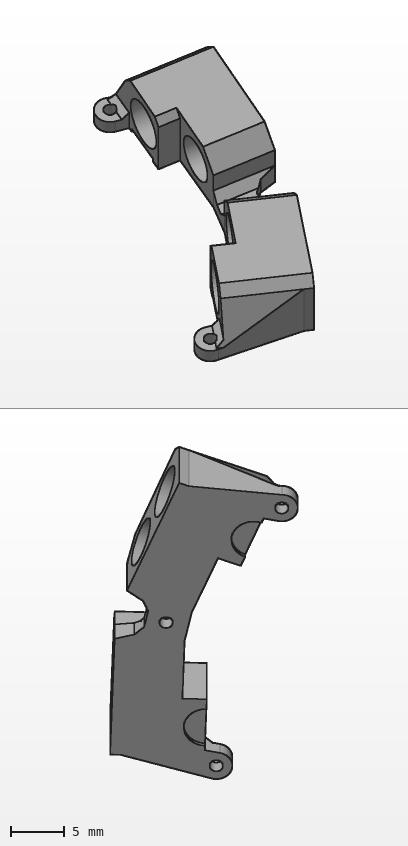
import cadquery as cq
import math

TOTAL_LENGTH = 32.5
SWING = 10.0
PIVOT_X = 1.62

BLOCK_LENGTH = 13.0
BLOCK_DEPTH = 6.5
STEP_U = 6.5
STEP_DEPTH = 2.27
HEIGHT = 7.0
INNER_TOP_Z = 6.55
INNER_BEVEL = 2.0
OUTER_BEVEL = 1.0
STEP_BEVEL_WIDTH = 0.7
STEP_BEVEL_HEIGHT = 0.78

FLANK_WIDTH = 2.18
FLANK_REAR_GAP = 0.97

BORE_FLOOR = 0.97
SMALL_BORE_D = 4.65
SMALL_BORE_U = 3.48
LARGE_BORE_D = 5.0
LARGE_BORE_U = 9.42

RECESS_D = 4.1
RECESS_U = 9.65
RECESS_HEIGHT = 0.4

PLATE = 1.5
HOLE_D = 1.25
LUG_R = 1.5
LUG_X = TOTAL_LENGTH / 2 - LUG_R
LUG_Y = -5.75
LUG_OVERLAP = 2.27
RAMP = 0.7
WEB_HOLE_Y = 2.1
WEB_REAR_Y = 4.0
WEB_REAR_HALF = 0.88
WEB_BEND = (1.92, 4.7)
GUSSET_WIDTH = 1.05
GUSSET_HEIGHT = 0.88

outer_shoulder_z = HEIGHT - OUTER_BEVEL
top_outer_u = BLOCK_LENGTH - OUTER_BEVEL
top_slope = (HEIGHT - INNER_TOP_Z) / (top_outer_u - INNER_BEVEL)
flank_u = BLOCK_LENGTH + FLANK_WIDTH


def to_global(u, v):
    """Plan position of a local block point on the right-hand side."""
    angle = math.radians(SWING)
    x = PIVOT_X + u * math.cos(angle) + v * math.sin(angle)
    y = v * math.cos(angle) - u * math.sin(angle)
    return x, y


def place(solid):
    """Move a solid from local block coordinates to the right-hand side."""
    return solid.rotate((0, 0, 0), (0, 0, 1), -SWING).translate((PIVOT_X, 0, 0))


def along_v(points, v_start, v_end):
    """Extrude a closed u-z profile from v_start rearward to v_end."""
    plane = cq.Workplane("XZ", origin=(0, v_start, 0))
    return plane.polyline(points).close().extrude(v_start - v_end)


def vertical_cylinder(x, y, diameter, height):
    return cq.Workplane("XY").center(x, y).circle(diameter / 2).extrude(height)


def bore(u, diameter):
    start = cq.Workplane("XZ", origin=(u, -STEP_DEPTH, BORE_FLOOR + diameter / 2))
    return start.circle(diameter / 2).extrude(-STEP_DEPTH - BLOCK_DEPTH)


plan_limit = (
    cq.Workplane("XY")
    .polyline([
        to_global(0, 0),
        to_global(0, BLOCK_DEPTH),
        to_global(BLOCK_LENGTH, BLOCK_DEPTH),
        to_global(BLOCK_LENGTH, BLOCK_DEPTH - FLANK_REAR_GAP),
        (LUG_X + LUG_R, LUG_Y),
        (PIVOT_X, LUG_Y),
    ])
    .close()
    .extrude(HEIGHT)
)

outer_profile = [
    (top_outer_u, HEIGHT),
    (BLOCK_LENGTH, outer_shoulder_z),
    (flank_u, PLATE),
    (flank_u, 0),
]
rear_profile = [
    (0, 0),
    (0, INNER_TOP_Z - INNER_BEVEL),
    (INNER_BEVEL, INNER_TOP_Z),
] + outer_profile
step_top_u = STEP_U + STEP_BEVEL_WIDTH
step_top_z = INNER_TOP_Z + top_slope * (step_top_u - INNER_BEVEL)
step_profile = [
    (STEP_U, 0),
    (STEP_U, step_top_z - STEP_BEVEL_HEIGHT),
    (step_top_u, step_top_z),
] + outer_profile

block = along_v(rear_profile, 0, BLOCK_DEPTH).union(along_v(step_profile, -STEP_DEPTH, 0))
block = block.cut(bore(SMALL_BORE_U, SMALL_BORE_D)).cut(bore(LARGE_BORE_U, LARGE_BORE_D))
block = block.cut(vertical_cylinder(RECESS_U, -STEP_DEPTH, RECESS_D, RECESS_HEIGHT))
block = place(block).intersect(plan_limit)

plate_layer = cq.Workplane("XY").rect(4 * flank_u, 4 * flank_u).extrude(PLATE)

lug_zone = (
    cq.Workplane("XY", origin=(LUG_X, LUG_Y, 0))
    .rect(2 * LUG_R, 2 * LUG_OVERLAP)
    .extrude(HEIGHT)
    .intersect(plan_limit)
)
tab = lug_zone.intersect(plate_layer)
ramp_wedge = (
    cq.Workplane("YZ")
    .polyline([
        (-STEP_DEPTH, PLATE),
        (-STEP_DEPTH - RAMP, PLATE),
        (-STEP_DEPTH, PLATE + RAMP),
    ])
    .close()
    .extrude(flank_u)
)
flank_limit = along_v(step_profile, -STEP_DEPTH - RAMP, -STEP_DEPTH)
ramp = place(ramp_wedge.intersect(flank_limit)).intersect(lug_zone)
lug = tab.union(vertical_cylinder(LUG_X, LUG_Y, 2 * LUG_R, PLATE)).union(ramp)
lug = lug.cut(vertical_cylinder(LUG_X, LUG_Y, HOLE_D, HEIGHT))

web_limit = (
    cq.Workplane("XY")
    .polyline([
        (0, 0),
        to_global(0, 0),
        to_global(0, BLOCK_DEPTH),
        WEB_BEND,
        (WEB_REAR_HALF, WEB_REAR_Y),
        (0, WEB_REAR_Y),
    ])
    .close()
    .extrude(HEIGHT)
)
gusset_profile = [(-GUSSET_WIDTH, PLATE), (0, PLATE), (0, PLATE + GUSSET_HEIGHT)]
gusset = place(along_v(gusset_profile, -GUSSET_WIDTH, BLOCK_DEPTH))
gusset = gusset.intersect(web_limit)
web = web_limit.intersect(plate_layer).union(gusset)
web = web.cut(vertical_cylinder(0, WEB_HOLE_Y, HOLE_D, PLATE))

half = block.union(lug).union(web)
result = half.union(half.mirror("YZ")).clean()